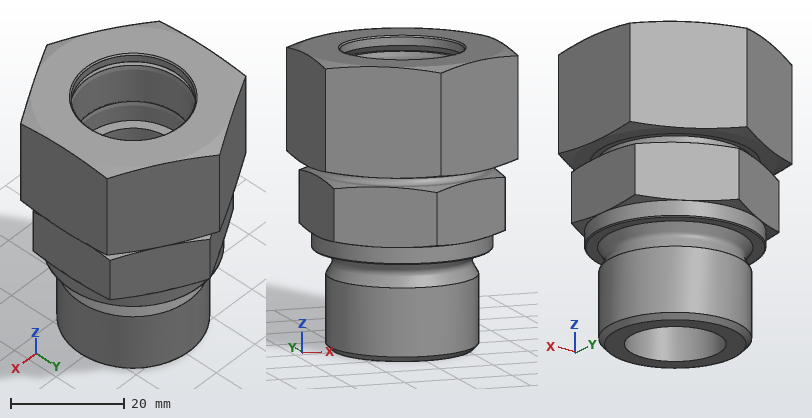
import cadquery as cq
import math

total_height = 54.0
nut_height = 20.0
nut_bottom_z = total_height - nut_height
body_hex_top_z = 32.0
body_hex_bottom_z = 21.15
collar_bottom_z = 18.1
stud_top_z = 13.45
body_top_z = 47.0

nut_across_flats = 36.0
body_across_flats = 32.0
hex_bevel_angle = 15.0

tube_bore_diameter = 22.0
through_bore_diameter = 18.0
tube_radius = tube_bore_diameter / 2
tube_stop_depth = 9.0
seat_mouth_radius = 24.3 / 2
seat_half_angle = 12.0
seat_slope = math.tan(math.radians(seat_half_angle))

collar_radius = body_across_flats / 2
collar_chamfer = 0.2
stud_radius = 27.0 / 2
stud_chamfer = 1.0
neck_radius = 27.7 / 2
neck_fillet = 1.2
sleeve_radius = 30.0 / 2

undercut_radius = 12.35
undercut_arc_radius = 1.25
undercut_arc_z = 15.75
undercut_upper_angle = math.radians(35.0)
undercut_lower_angle = math.radians(30.0)

lip_depth = 1.8
lip_chamfer = 0.25
lip_bottom_z = total_height - lip_depth
nut_cone_bottom_z = lip_bottom_z - (sleeve_radius - tube_radius)

ring_top_z = 51.15
ring_bottom_z = 42.55
ring_outer_radius = 28.35 / 2
ring_mouth_depth = 0.9


def revolve_profile(profile):
    """Revolve a closed (radius, z) wire about the Z axis."""
    return profile.close().revolve(360, (0, 0, 0), (0, 1, 0))


def revolve_points(points):
    """Revolve a straight-sided (radius, z) outline about the Z axis."""
    return revolve_profile(cq.Workplane("XZ").polyline(points))


def bevelled_hexagon(across_flats, bottom_z, top_z):
    """Hexagonal prism whose corners are bevelled by a cone at both ends."""
    flat_radius = across_flats / 2
    corner_radius = flat_radius / math.cos(math.radians(30))
    bevel_drop = (corner_radius - flat_radius) * math.tan(math.radians(hex_bevel_angle))
    prism = (
        cq.Workplane("XY")
        .workplane(offset=bottom_z)
        .polygon(6, 2 * corner_radius)
        .extrude(top_z - bottom_z)
        .rotate((0, 0, 0), (0, 0, 1), 30)
    )
    bevel_envelope = revolve_points([
        (0, bottom_z),
        (flat_radius, bottom_z),
        (corner_radius, bottom_z + bevel_drop),
        (corner_radius, top_z - bevel_drop),
        (flat_radius, top_z),
        (0, top_z),
    ])
    return prism.intersect(bevel_envelope)


def make_stud():
    """Threaded stud with its undercut and the round collar above it."""
    arc_base_radius = undercut_radius + undercut_arc_radius

    def arc_point(angle):
        return (
            arc_base_radius - undercut_arc_radius * math.cos(angle),
            undercut_arc_z + undercut_arc_radius * math.sin(angle),
        )

    lower_radius, lower_z = arc_point(-undercut_lower_angle)
    upper_radius, upper_z = arc_point(undercut_upper_angle)
    cone_top_radius = upper_radius + (collar_bottom_z - upper_z) * math.tan(undercut_upper_angle)
    profile = (
        cq.Workplane("XZ")
        .moveTo(0, 0)
        .lineTo(stud_radius - stud_chamfer, 0)
        .lineTo(stud_radius, stud_chamfer)
        .lineTo(stud_radius, stud_top_z)
        .lineTo(lower_radius, lower_z)
        .threePointArc((undercut_radius, undercut_arc_z), (upper_radius, upper_z))
        .lineTo(cone_top_radius, collar_bottom_z)
        .lineTo(collar_radius - collar_chamfer, collar_bottom_z)
        .lineTo(collar_radius, collar_bottom_z + collar_chamfer)
        .lineTo(collar_radius, body_hex_bottom_z)
        .lineTo(0, body_hex_bottom_z)
    )
    return revolve_profile(profile)


def make_sleeve():
    """Sleeve above the hexagon: filleted neck, then the part that fills the nut."""
    fillet_top_z = body_hex_top_z + neck_fillet
    fillet_middle = neck_fillet * (1 - math.sqrt(0.5))
    profile = (
        cq.Workplane("XZ")
        .moveTo(0, body_hex_top_z)
        .lineTo(neck_radius + neck_fillet, body_hex_top_z)
        .threePointArc(
            (neck_radius + fillet_middle, body_hex_top_z + fillet_middle),
            (neck_radius, fillet_top_z),
        )
        .lineTo(neck_radius, nut_bottom_z)
        .lineTo(sleeve_radius, nut_bottom_z)
        .lineTo(sleeve_radius, body_top_z)
        .lineTo(0, body_top_z)
    )
    return revolve_profile(profile)


def make_body_bore():
    """Through bore, tube socket with its stop shoulder, and conical ring seat."""
    through_radius = through_bore_diameter / 2
    stop_z = body_top_z - tube_stop_depth
    seat_bottom_z = body_top_z - (seat_mouth_radius - tube_radius) / seat_slope
    return revolve_points([
        (0, 0),
        (through_radius, 0),
        (through_radius, stop_z),
        (tube_radius, stop_z),
        (tube_radius, seat_bottom_z),
        (seat_mouth_radius, body_top_z),
        (0, body_top_z),
    ])


def make_body():
    hexagon = bevelled_hexagon(body_across_flats, body_hex_bottom_z, body_hex_top_z)
    return make_stud().union(hexagon).union(make_sleeve()).cut(make_body_bore())


def make_nut():
    bore = revolve_points([
        (0, nut_bottom_z),
        (sleeve_radius, nut_bottom_z),
        (sleeve_radius, nut_cone_bottom_z),
        (tube_radius, lip_bottom_z),
        (tube_radius, total_height - lip_chamfer),
        (tube_radius + lip_chamfer, total_height),
        (0, total_height),
    ])
    return bevelled_hexagon(nut_across_flats, nut_bottom_z, total_height).cut(bore)


def make_cutting_ring():
    """Ring wedged between the nut cone and the conical seat of the body."""
    nose_radius = seat_mouth_radius - (body_top_z - ring_bottom_z) * seat_slope
    top_outer_radius = tube_radius + lip_bottom_z - ring_top_z
    shoulder_z = lip_bottom_z - (ring_outer_radius - tube_radius)
    return revolve_points([
        (tube_radius, ring_bottom_z),
        (nose_radius, ring_bottom_z),
        (seat_mouth_radius, body_top_z),
        (ring_outer_radius, body_top_z),
        (ring_outer_radius, shoulder_z),
        (top_outer_radius, ring_top_z),
        (tube_radius + ring_mouth_depth * seat_slope, ring_top_z),
        (tube_radius, ring_top_z - ring_mouth_depth),
    ])


body = make_body()
nut = make_nut()
cutting_ring = make_cutting_ring()

result = cq.Compound.makeCompound([body.val(), nut.val(), cutting_ring.val()])